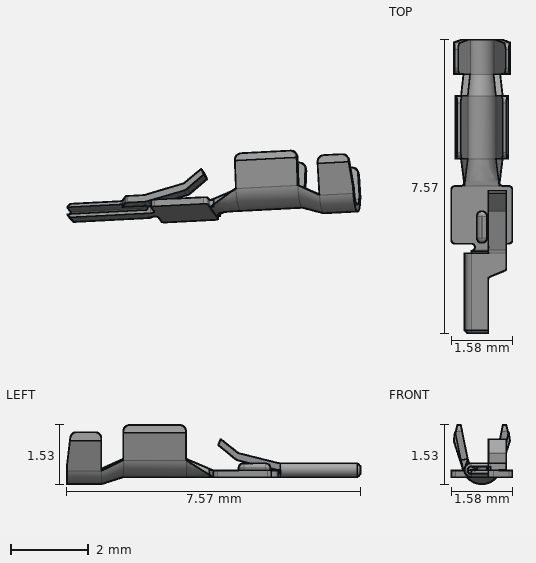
import math

import cadquery as cq

sheet = 0.18
total_length = 7.57

pin_height = 0.365
pin_wall = 0.09
pin_right = 0.17
fold_radius = pin_height / 2
fold_x = -0.27
pin_rear = 2.07
tip_chamfer = 0.085

flap_right = 0.63
flap_front = 1.63
flap_root = 1.44
flap_corner = 0.05
flap_root_fillet = 0.06
flap_step_x = pin_right + flap_root_fillet

lance_start = 2.115
lance_under_start = 2.15
lance_start_radius = 0.30
lance_bend_top = (3.155, 0.625)
lance_bend_under = (3.20, 0.44)
lance_bend_radius = 0.05
lance_tip_top = (3.61, 0.985)
lance_tip_under = (3.675, 0.83)

plate_width = 1.58
plate_front = 2.31
plate_rear = 3.80
plate_corner = 0.10
neck_ramp_top = 2.155
neck_fillet = 0.13
relief_radius = 0.09

bead_width = 0.26
bead_crown_radius = 0.12
bead_front = 2.33
bead_rear = 3.15
bead_top = 0.36

tail_width = 0.90
tail_fillet = 0.10

wire_front = 4.50
wire_rear = 6.12
wire_floor = 0.0
wire_inner_radius = 0.37
wire_lean = 11.5
wire_bevel_z = 1.143
wire_top = 1.35
wire_bevel_inset = 0.05

insul_front = 6.68
insul_floor = wire_floor - sheet
insul_inner_radius = 0.32
insul_lean = 18
insul_bevel_z = 0.94
insul_top = 1.165
insul_bevel_inset = 0.03
insul_slope_start_z = 0.33
insul_top_setback = 0.10

ear_corner = 0.17

arc_mid_offset = 1 - math.sqrt(0.5)


def section_plane(y):
    """Plane across the strip at y, with local axes along X and Z."""
    return cq.Workplane("XZ", origin=(0, y, 0))


def side_prism(sketch, x_min, x_max):
    """Extrude an outline drawn on the YZ plane from x_min to x_max."""
    return sketch.extrude(x_max - x_min).translate((x_min, 0, 0))


def wall_point(radius, axis_z, lean):
    """Point where an arc runs into the right ear leaning out by lean degrees."""
    angle = math.radians(lean)
    return radius * math.cos(angle), axis_z - radius * math.sin(angle)


def mirrored(point):
    """The matching point on the left half of a cross-section."""
    return -point[0], point[1]


def trough_edge(floor, inner_radius, lean):
    """Outer and inner points where the curved floor meets the right ear."""
    outer_radius = inner_radius + sheet
    axis_z = floor + outer_radius
    return wall_point(outer_radius, axis_z, lean), wall_point(inner_radius, axis_z, lean)


def trough_outline(y, floor, inner_radius, lean):
    """Curved floor of a barrel, up to where its straight ears begin."""
    outer, inner = trough_edge(floor, inner_radius, lean)
    return (
        section_plane(y)
        .moveTo(*mirrored(outer))
        .threePointArc((0, floor), outer)
        .lineTo(*inner)
        .threePointArc((0, floor + sheet), mirrored(inner))
        .close()
    )


def barrel(front, rear, floor, inner_radius, lean, bevel_z, top, bevel_inset):
    """Open U barrel with leaning ears bevelled on the outside of their tops."""
    outer, inner = trough_edge(floor, inner_radius, lean)
    slope = math.tan(math.radians(lean))
    bevel = (outer[0] + (bevel_z - outer[1]) * slope, bevel_z)
    tip_outer = (bevel[0] - bevel_inset, top)
    tip_inner = (inner[0] + (top - inner[1]) * slope, top)
    return (
        section_plane(front)
        .moveTo(*mirrored(outer))
        .threePointArc((0, floor), outer)
        .lineTo(*bevel)
        .lineTo(*tip_outer)
        .lineTo(*tip_inner)
        .lineTo(*inner)
        .threePointArc((0, floor + sheet), mirrored(inner))
        .lineTo(*mirrored(tip_inner))
        .lineTo(*mirrored(tip_outer))
        .lineTo(*mirrored(bevel))
        .close()
        .extrude(front - rear)
    )


def ear_silhouette(points):
    """Side outline of a barrel, its top corners rounded."""
    prism = side_prism(cq.Workplane("YZ").polyline(points).close(), -plate_width, plate_width)
    return prism.faces(">Z").edges("|X").fillet(ear_corner)


def make_wire_barrel():
    """Barrel that crimps onto the bare conductor."""
    blank = barrel(wire_front, wire_rear, wire_floor, wire_inner_radius, wire_lean,
                   wire_bevel_z, wire_top, wire_bevel_inset)
    outline = [
        (wire_front, wire_floor),
        (wire_rear, wire_floor),
        (wire_rear, wire_top),
        (wire_front, wire_top),
    ]
    return blank.intersect(ear_silhouette(outline))


def make_insulation_barrel():
    """Barrel that grips the insulation; its rear end leans forward toward the top."""
    blank = barrel(insul_front, total_length, insul_floor, insul_inner_radius, insul_lean,
                   insul_bevel_z, insul_top, insul_bevel_inset)
    outline = [
        (insul_front, insul_floor),
        (total_length, insul_floor),
        (total_length, insul_slope_start_z),
        (total_length - insul_top_setback, insul_top),
        (insul_front, insul_top),
    ]
    return blank.intersect(ear_silhouette(outline))


def loft_between(first, second):
    """Ruled solid joining two cross-sections."""
    wires = [first.wire().val(), second.wire().val()]
    return cq.Workplane(cq.Solid.makeLoft(wires, True))


def make_barrel_step():
    """Trough that drops from the wire barrel to the insulation barrel."""
    return loft_between(
        trough_outline(wire_rear, wire_floor, wire_inner_radius, wire_lean),
        trough_outline(insul_front, insul_floor, insul_inner_radius, insul_lean),
    )


def make_tail():
    """Strip behind the plate that curls up into the wire barrel."""
    half = tail_width / 2
    flat_outline = (
        section_plane(plate_rear)
        .moveTo(-half, 0)
        .lineTo(half, 0)
        .lineTo(half, sheet)
        .lineTo(-half, sheet)
        .close()
    )
    curl = loft_between(
        flat_outline,
        trough_outline(wire_front, wire_floor, wire_inner_radius, wire_lean),
    )
    bend = tail_fillet * arc_mid_offset
    root_fillet = (
        cq.Workplane("XY")
        .moveTo(half, plate_rear)
        .lineTo(half + tail_fillet, plate_rear)
        .threePointArc((half + bend, plate_rear + bend), (half, plate_rear + tail_fillet))
        .close()
        .extrude(sheet)
    )
    return curl.union(root_fillet).union(root_fillet.mirror("YZ"))


def make_plate():
    """Flat body with rounded corners, and its neck."""
    plate = (
        cq.Workplane("XY")
        .rect(plate_width, plate_rear - plate_front)
        .extrude(sheet)
        .edges("|Z")
        .fillet(plate_corner)
        .translate((0, (plate_front + plate_rear) / 2, 0))
    )
    return plate.union(make_neck())


def make_neck():
    """Link that ramps down from plate thickness to the thin lower leaf of the pin."""
    ramp_middle = ((pin_rear + neck_ramp_top) / 2, (pin_wall + sheet) / 2)
    side = (
        cq.Workplane("YZ")
        .moveTo(pin_rear, 0)
        .lineTo(plate_front, 0)
        .lineTo(plate_front, sheet)
        .lineTo(neck_ramp_top, sheet)
        .tangentArcPoint(ramp_middle, relative=False)
        .tangentArcPoint((pin_rear, pin_wall), relative=False)
        .close()
    )
    bend = neck_fillet * arc_mid_offset
    relief_y = plate_front - relief_radius
    plan = (
        cq.Workplane("XY")
        .moveTo(fold_x, pin_rear)
        .lineTo(pin_right, pin_rear)
        .lineTo(pin_right, plate_front - neck_fillet)
        .threePointArc((pin_right + bend, plate_front - bend), (pin_right + neck_fillet, plate_front))
        .lineTo(fold_x, plate_front)
        .threePointArc((fold_x + relief_radius, relief_y), (fold_x, relief_y - relief_radius))
        .close()
        .extrude(sheet)
    )
    return side_prism(side, fold_x, pin_right + neck_fillet).intersect(plan)


def fold_outline(radius, right):
    """Half-round on the left, square on the right, centred on the fold axis."""
    return (
        section_plane(0)
        .moveTo(right, fold_radius - radius)
        .lineTo(right, fold_radius + radius)
        .lineTo(fold_x, fold_radius + radius)
        .threePointArc((fold_x - radius, fold_radius), (fold_x, fold_radius - radius))
        .close()
    )


def make_flap():
    """Full-thickness slab over the pin, reaching out to the right in front of the lance."""
    slab = (
        cq.Workplane("XY", origin=(0, 0, pin_height - sheet))
        .moveTo(fold_x, flap_root)
        .lineTo(pin_right, flap_root)
        .lineTo(flap_right, flap_front)
        .lineTo(flap_right, pin_rear)
        .lineTo(fold_x, pin_rear)
        .close()
        .extrude(sheet)
    )
    corner = cq.selectors.NearestToPointSelector((flap_right, flap_front, pin_height - sheet / 2))
    return slab.edges(corner).fillet(flap_corner)


def make_pin():
    """Strip folded back over itself, with the flap on its upper leaf."""
    body = fold_outline(fold_radius, pin_right).extrude(-pin_rear)
    body = body.faces("<Y").edges("not(>X)").chamfer(tip_chamfer)
    body = body.union(make_flap())
    root = cq.selectors.NearestToPointSelector((pin_right, flap_root, pin_height - sheet / 2))
    body = body.edges("|Z").edges(root).fillet(flap_root_fillet)
    hollow = fold_outline(fold_radius - pin_wall, flap_step_x).extrude(-pin_rear)
    return body.cut(hollow)


def edge_along_x(y, z):
    """Selector for the lance edge that crosses the strip at y and z."""
    return cq.selectors.NearestToPointSelector(((pin_right + flap_right) / 2, y, z))


def make_lance():
    """Spring tongue rising from the flap, its two bends rounded on both faces."""
    underside = pin_height - sheet
    side = (
        cq.Workplane("YZ")
        .moveTo(pin_rear, pin_height)
        .lineTo(lance_start, pin_height)
        .lineTo(*lance_bend_top)
        .lineTo(*lance_tip_top)
        .lineTo(*lance_tip_under)
        .lineTo(*lance_bend_under)
        .lineTo(lance_under_start, underside)
        .lineTo(pin_rear, underside)
        .close()
    )
    lance = side_prism(side, pin_right, flap_right)
    lance = lance.edges(edge_along_x(lance_start, pin_height)).fillet(lance_start_radius)
    lance = lance.edges(edge_along_x(lance_under_start, underside)).fillet(lance_start_radius + sheet)
    lance = lance.edges(edge_along_x(*lance_bend_top)).fillet(lance_bend_radius)
    return lance.edges(edge_along_x(*lance_bend_under)).fillet(lance_bend_radius + sheet)


def make_bead():
    """Round-ended bead with a rounded crown, sunk to the plate underside."""
    bead = (
        cq.Workplane("XY", origin=(0, (bead_front + bead_rear) / 2, 0))
        .slot2D(bead_rear - bead_front, bead_width, 90)
        .extrude(bead_top)
    )
    return bead.faces(">Z").edges().fillet(bead_crown_radius)


result = (
    make_plate()
    .union(make_pin())
    .union(make_lance())
    .union(make_bead())
    .union(make_tail())
    .union(make_wire_barrel())
    .union(make_barrel_step())
    .union(make_insulation_barrel())
)